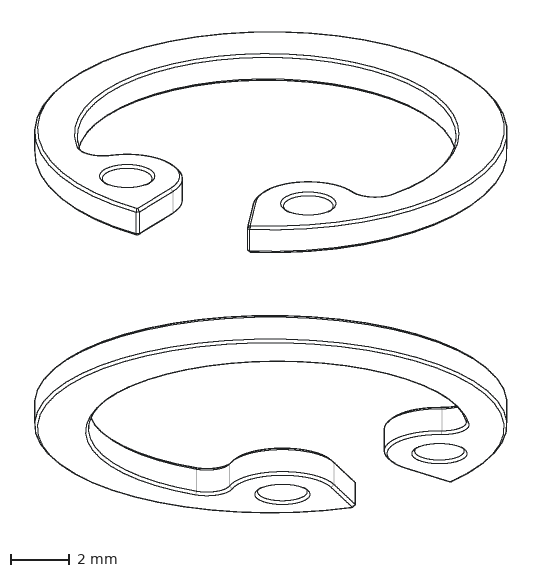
import cadquery as cq
import math

outer_radius = 8.07
inner_radius = 6.47
inner_center = (0, -0.42)
thickness = 1.0
edge_chamfer = 0.1
tip_chamfer = 0.08

lug_center = (-3.3, -5.31)
lug_radius = 1.89
hole_diameter = 1.7
root_radius = 0.8


def point_at(center, radius, angle):
    """Point on a circle, with the angle in radians counterclockwise from +X."""
    return (center[0] + radius * math.cos(angle), center[1] + radius * math.sin(angle))


def angle_to(start, end):
    return math.atan2(end[1] - start[1], end[0] - start[0])


def root_center():
    """Center of the circle inside the bore that is tangent to both bore and lug."""
    from_bore = inner_radius - root_radius
    from_lug = lug_radius + root_radius
    span = math.dist(inner_center, lug_center)
    cosine = (from_bore**2 + span**2 - from_lug**2) / (2 * from_bore * span)
    angle = angle_to(inner_center, lug_center) - math.acos(cosine)
    return point_at(inner_center, from_bore, angle)


def mirrored(point):
    return (-point[0], point[1])


origin = (0, 0)
lug_distance = math.dist(origin, lug_center)
end_angle = angle_to(origin, lug_center) + math.asin(lug_radius / lug_distance)
tip = point_at(origin, outer_radius, end_angle)
outer_top = point_at(origin, outer_radius, math.pi / 2)

root = root_center()
lug_start = end_angle + math.pi / 2
lug_end = angle_to(lug_center, root)
lug_tangent = point_at(lug_center, lug_radius, lug_start)
lug_middle = point_at(lug_center, lug_radius, (lug_start + lug_end) / 2)
lug_root = point_at(lug_center, lug_radius, lug_end)

root_bottom = point_at(root, root_radius, -math.pi / 2)
bore_root = point_at(inner_center, inner_radius, angle_to(inner_center, root))
bore_top = point_at(inner_center, inner_radius, math.pi / 2)

ring = (
    cq.Workplane("XY")
    .moveTo(*mirrored(tip))
    .threePointArc(outer_top, tip)
    .lineTo(*lug_tangent)
    .threePointArc(lug_middle, lug_root)
    .threePointArc(root_bottom, bore_root)
    .threePointArc(bore_top, mirrored(bore_root))
    .threePointArc(mirrored(root_bottom), mirrored(lug_root))
    .threePointArc(mirrored(lug_middle), mirrored(lug_tangent))
    .close()
    .extrude(thickness)
)

for corner in (tip, mirrored(tip)):
    nearest = cq.selectors.NearestToPointSelector((*corner, thickness / 2))
    ring = ring.edges("|Z").edges(nearest).chamfer(tip_chamfer)

holes = (
    cq.Workplane("XY")
    .pushPoints([lug_center, mirrored(lug_center)])
    .circle(hole_diameter / 2)
    .extrude(thickness)
)
ring = ring.cut(holes)

result = ring.faces("<Z or >Z").edges().chamfer(edge_chamfer)